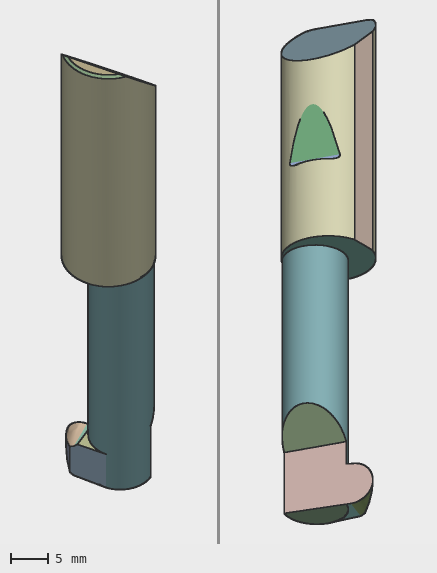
import cadquery as cq
import math

length = 76.1
shank_radius = 6.35
shoulder_z = 38.05

bevel_start_y = -4.5
end_chamfer_height = 0.3
end_chamfer_width = 0.45
flat_depth = 0.3
flat_angle = 161.5
notch_top_z = 58.35
notch_bottom_z = 49.8
notch_depth = 1.2
notch_corner_radius = 0.7

neck_radius = 4.45
neck_x = shank_radius - neck_radius
relief_start_z = 9.6
relief_end_z = 14.0

head_top_z = 6.25
head_step_x = -2.4
nose_top_z = 6.1
nose_x = -3.2
heel_z = 0.3
flank_x = -3.6
flank_bulge = 0.2
back_nose_tip_x = -4.7
back_nose_x = -2.6
back_nose_inset = 0.4

margin = 3.8


def make_shank():
    """Round shank with a chamfered 45 degree end, a side flat and a sloping notch."""
    shank = (
        cq.Workplane("XY")
        .workplane(offset=shoulder_z)
        .circle(shank_radius)
        .extrude(length - shoulder_z)
        .faces(">Z")
        .chamfer(end_chamfer_height, end_chamfer_width)
    )

    bevel_run = shank_radius + margin - bevel_start_y
    bevel = (
        cq.Workplane("YZ")
        .moveTo(bevel_start_y, length)
        .lineTo(shank_radius + margin, length)
        .lineTo(shank_radius + margin, length - bevel_run)
        .close()
        .extrude(shank_radius + margin, both=True)
    )

    flat = (
        cq.Workplane("XY")
        .box(margin, 2 * shank_radius, length, centered=(False, True, False))
        .translate((shank_radius - flat_depth, 0, 0))
        .rotate((0, 0, 0), (0, 0, 1), flat_angle)
    )

    floor_y = shank_radius - notch_depth
    outer_y = shank_radius + margin
    slope = notch_depth / (notch_top_z - notch_bottom_z)
    notch = (
        cq.Workplane("YZ")
        .moveTo(floor_y, notch_bottom_z)
        .lineTo(outer_y, notch_bottom_z)
        .lineTo(outer_y, notch_top_z + margin / slope)
        .close()
        .extrude(shank_radius + margin, both=True)
        .edges(cq.selectors.NearestToPointSelector((0, floor_y, notch_bottom_z)))
        .fillet(notch_corner_radius)
    )
    return shank.cut(bevel).cut(flat).cut(notch)


def make_neck():
    """Round neck, cut back to a half round beside the head."""
    neck = cq.Workplane("XY").center(neck_x, 0).circle(neck_radius).extrude(shoulder_z)
    relief = (
        cq.Workplane("YZ")
        .polyline([(0, 0), (neck_radius, 0), (neck_radius, relief_end_z), (0, relief_start_z)])
        .close()
        .extrude(shank_radius + margin, both=True)
    )
    end_slope = (
        cq.Workplane("XZ")
        .polyline([(nose_x, 0), (shank_radius, 0), (shank_radius, heel_z)])
        .close()
        .extrude(neck_radius + margin, both=True)
    )
    return neck.cut(relief).cut(end_slope)


def head_profile(plane, tip_x, arc_x, inset):
    """Head outline with a rounded nose; inset shrinks the nose for clearance."""
    root_z = heel_z * (neck_x - nose_x) / (shank_radius - nose_x)
    return (
        plane.moveTo(neck_x, root_z)
        .lineTo(neck_x, head_top_z)
        .lineTo(head_step_x, head_top_z)
        .lineTo(arc_x - inset, nose_top_z - inset)
        .threePointArc((tip_x, nose_top_z / 2), (arc_x - inset, inset))
        .close()
    )


def make_head():
    """Nose tapering away from the cutting face at Y = 0, with a curved flank."""
    face = head_profile(cq.Workplane("XZ"), -shank_radius, nose_x, 0)
    back = face.workplane(offset=neck_radius)
    head = head_profile(back, back_nose_tip_x, back_nose_x, back_nose_inset).loft(ruled=True)

    run = shank_radius + flank_x
    chord = math.hypot(run, neck_radius)
    middle_x = (flank_x - shank_radius) / 2 - flank_bulge * neck_radius / chord
    middle_y = -neck_radius / 2 - flank_bulge * run / chord
    flank = (
        cq.Workplane("XY")
        .moveTo(neck_x, 0)
        .lineTo(-shank_radius, 0)
        .threePointArc((middle_x, middle_y), (flank_x, -neck_radius))
        .lineTo(neck_x, -neck_radius)
        .close()
        .extrude(head_top_z)
    )
    return head.intersect(flank)


result = make_shank().union(make_neck()).union(make_head())